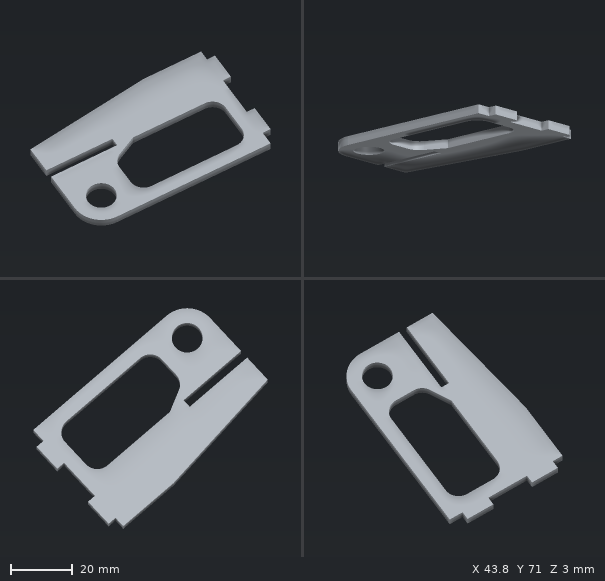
import cadquery as cq

width = 43.75
length = 71.0
thickness = 3.0

tab_height = thickness
body_length = length - tab_height
bottom_width = 38.0
taper_start = 46.2
corner_radius = 10.0
taper_blend_radius = 2.0

tab_width = 10.0
tab_right_ends = (-5.0, -29.95)

rim = 5.0
window_left = -25.0
window_right = -rim
window_top = body_length - rim
window_bottom = 21.0
window_radius = 5.0
bevel_width = 5.0
bevel_height = 2 * bevel_width

slot_width = thickness
slot_depth = 25.0

hole_diameter = 10.0


def make_body():
    body = (
        cq.Workplane("XY")
        .polyline([
            (0, 0),
            (0, body_length),
            (-width, body_length),
            (-width, taper_start),
            (-bottom_width, 0),
        ])
        .close()
        .extrude(thickness)
    )
    body = body.edges("|Z").edges(">X").edges("<Y").fillet(corner_radius)
    return body.edges("|Z").edges("<X").edges("<Y").fillet(taper_blend_radius)


def make_tab(right_end):
    return (
        cq.Workplane("XY")
        .box(tab_width, tab_height, thickness, centered=False)
        .translate((right_end - tab_width, body_length, 0))
    )


def make_window():
    window = (
        cq.Workplane("XY")
        .polyline([
            (window_right, window_bottom),
            (window_right, window_top),
            (window_left, window_top),
            (window_left, window_bottom + bevel_height),
            (window_left + bevel_width, window_bottom),
        ])
        .close()
        .extrude(thickness)
    )
    return window.edges("|Z").edges(">Y or <Y").fillet(window_radius)


def make_slot():
    return (
        cq.Workplane("XY")
        .box(slot_width, slot_depth, thickness, centered=False)
        .translate((window_left - slot_width, 0, 0))
    )


def make_hole():
    return (
        cq.Workplane("XY")
        .center(-corner_radius, corner_radius)
        .circle(hole_diameter / 2)
        .extrude(thickness)
    )


result = make_body()
for right_end in tab_right_ends:
    result = result.union(make_tab(right_end))
result = result.cut(make_window()).cut(make_slot()).cut(make_hole())